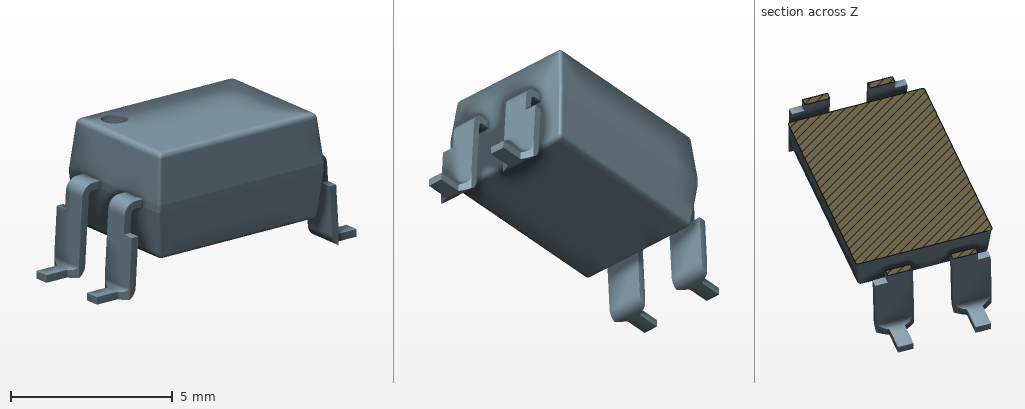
import cadquery as cq
import math

BODY_WIDTH = 4.58
BODY_LENGTH = 6.5
BODY_TOP = 4.68
BODY_HEIGHT = 3.5
DRAFT_ANGLE = 6.0
RIM_FILLET = 0.2
CORNER_FILLET = 0.1

MARK_DIAMETER = 0.86
MARK_X = -1.27
MARK_Y = -2.22
MARK_DEPTH = 0.08
MARK_WALL_ANGLE = 30

LEAD_PITCH = 2.54
LEAD_SPAN = 10.16
LEAD_THICKNESS = 0.25
LEAD_TOP = 3.05
LEG_ANGLE = 3.6
INNER_BEND_RADIUS = 0.175
OUTER_BEND_RADIUS = INNER_BEND_RADIUS + LEAD_THICKNESS
FOOT_LENGTH = 0.806
LEAD_ROOT_Y = 2.9

LEG_WIDTH = 1.24
NECK_WIDTH = 0.83
FOOT_WIDTH = 0.51
SHOULDER_Z = 2.05
FOOT_TAPER_LENGTH = 0.19

LEAD_BOTTOM = LEAD_TOP - LEAD_THICKNESS
BODY_BOTTOM = BODY_TOP - BODY_HEIGHT
LEAD_TIP_Y = LEAD_SPAN / 2
FOOT_START_Y = LEAD_TIP_Y - FOOT_LENGTH


def body_block(base_z, height, draft):
    """Rectangular block drawn from base_z, narrowing by the draft angle."""
    return (
        cq.Workplane("XY", origin=(0, 0, base_z))
        .rect(BODY_WIDTH, BODY_LENGTH)
        .extrude(height, taper=draft)
    )


def make_body():
    """Body drafted up and down from a straight band level with the leads."""
    upper = body_block(LEAD_TOP, BODY_TOP - LEAD_TOP, DRAFT_ANGLE)
    lower = body_block(LEAD_BOTTOM, BODY_BOTTOM - LEAD_BOTTOM, DRAFT_ANGLE)
    band = body_block(LEAD_BOTTOM, LEAD_THICKNESS, 0)
    body = band.union(upper).union(lower)

    body = body.faces(">Z or <Z").edges().fillet(RIM_FILLET)
    return body.edges("%LINE and (not #Z)").fillet(CORNER_FILLET)


def cut_index_mark(body):
    """Shallow round recess with a sloping wall, beside pin one."""
    recess = (
        cq.Workplane("XY", origin=(MARK_X, MARK_Y, BODY_TOP))
        .circle(MARK_DIAMETER / 2)
        .extrude(-MARK_DEPTH, taper=MARK_WALL_ANGLE)
    )
    return body.cut(recess)


def lead_side_profile():
    """Gull-wing strip in the YZ plane, as wide as the leg along X."""
    lean = math.radians(LEG_ANGLE)
    turn = math.pi / 2 - lean

    foot_centre = (FOOT_START_Y, LEAD_THICKNESS + INNER_BEND_RADIUS)
    top_centre_z = LEAD_BOTTOM - INNER_BEND_RADIUS
    centre_rise = top_centre_z - foot_centre[1]
    normal_gap = INNER_BEND_RADIUS + OUTER_BEND_RADIUS
    centre_run = (normal_gap + centre_rise * math.sin(lean)) / math.cos(lean)
    top_centre = (foot_centre[0] - centre_run, top_centre_z)

    def on_foot_bend(radius, angle):
        return (
            foot_centre[0] - radius * math.sin(angle),
            foot_centre[1] - radius * math.cos(angle),
        )

    def on_top_bend(radius, angle):
        return (
            top_centre[0] + radius * math.sin(angle),
            top_centre[1] + radius * math.cos(angle),
        )

    return (
        cq.Workplane("YZ", origin=(-LEG_WIDTH / 2, 0, 0))
        .moveTo(LEAD_ROOT_Y, LEAD_TOP)
        .lineTo(*on_top_bend(OUTER_BEND_RADIUS, 0))
        .threePointArc(on_top_bend(OUTER_BEND_RADIUS, turn / 2), on_top_bend(OUTER_BEND_RADIUS, turn))
        .lineTo(*on_foot_bend(INNER_BEND_RADIUS, turn))
        .threePointArc(on_foot_bend(INNER_BEND_RADIUS, turn / 2), on_foot_bend(INNER_BEND_RADIUS, 0))
        .lineTo(LEAD_TIP_Y, LEAD_THICKNESS)
        .lineTo(LEAD_TIP_Y, 0)
        .lineTo(*on_foot_bend(OUTER_BEND_RADIUS, 0))
        .threePointArc(on_foot_bend(OUTER_BEND_RADIUS, turn / 2), on_foot_bend(OUTER_BEND_RADIUS, turn))
        .lineTo(*on_top_bend(INNER_BEND_RADIUS, turn))
        .threePointArc(on_top_bend(INNER_BEND_RADIUS, turn / 2), on_top_bend(INNER_BEND_RADIUS, 0))
        .lineTo(LEAD_ROOT_Y, LEAD_BOTTOM)
        .close()
        .extrude(LEG_WIDTH)
    )


def make_lead():
    """Lead on the +X, +Y corner, centred on X = 0 with its neck toward -X."""
    half_leg = LEG_WIDTH / 2
    half_foot = FOOT_WIDTH / 2
    taper_start_y = FOOT_START_Y - FOOT_TAPER_LENGTH

    plan = (
        cq.Workplane("XY")
        .polyline([
            (-half_leg, LEAD_ROOT_Y),
            (half_leg, LEAD_ROOT_Y),
            (half_leg, taper_start_y),
            (half_foot, FOOT_START_Y),
            (half_foot, LEAD_TIP_Y),
            (-half_foot, LEAD_TIP_Y),
            (-half_foot, FOOT_START_Y),
            (-half_leg, taper_start_y),
        ])
        .close()
        .extrude(LEAD_TOP)
    )

    shoulder_notch = (
        cq.Workplane("XY", origin=(NECK_WIDTH - half_leg, 0, SHOULDER_Z))
        .box(LEG_WIDTH - NECK_WIDTH, LEAD_TIP_Y, LEAD_TOP - SHOULDER_Z, centered=False)
    )
    return lead_side_profile().intersect(plan).cut(shoulder_notch)


def make_part():
    part = cut_index_mark(make_body())
    back_right = make_lead().translate((LEAD_PITCH / 2, 0, 0))
    back_left = back_right.mirror("YZ")
    for lead in (back_right, back_left):
        part = part.union(lead).union(lead.mirror("XZ"))
    return part


result = make_part()